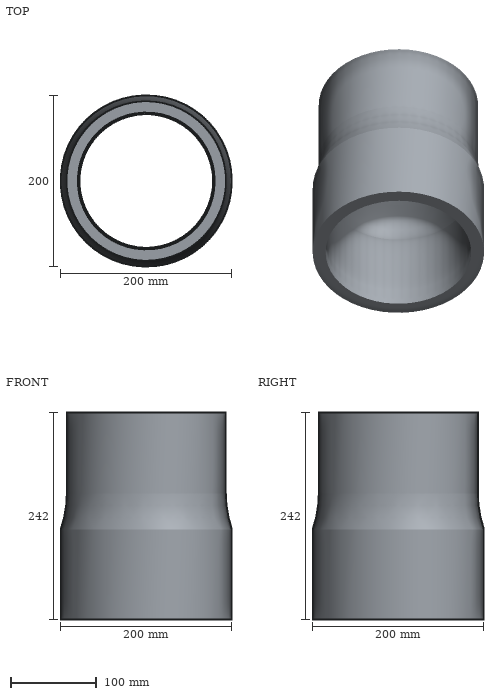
import cadquery as cq

TOTAL_HEIGHT = 242.0
LARGE_OUTER_RADIUS = 200.0 / 2
SMALL_OUTER_RADIUS = 186.03 / 2

LOWER_BORE_RADIUS = 170.0 / 2
SOCKET_BORE_RADIUS = 160.0 / 2
THROAT_RADIUS = 156.0 / 2
SOCKET_DEPTH = 86.0

FLARE_START = 105.5
OUTER_FLARE_END = 147.5
FLARE_ARC_RADIUS = 130.0
SOCKET_STOP = TOTAL_HEIGHT - SOCKET_DEPTH

wall_section = (
    cq.Workplane("XZ")
    .moveTo(LOWER_BORE_RADIUS, 0)
    .lineTo(LARGE_OUTER_RADIUS, 0)
    .lineTo(LARGE_OUTER_RADIUS, FLARE_START)
    .radiusArc((SMALL_OUTER_RADIUS, OUTER_FLARE_END), FLARE_ARC_RADIUS)
    .lineTo(SMALL_OUTER_RADIUS, TOTAL_HEIGHT)
    .lineTo(SOCKET_BORE_RADIUS, TOTAL_HEIGHT)
    .lineTo(SOCKET_BORE_RADIUS, SOCKET_STOP)
    .lineTo(THROAT_RADIUS, SOCKET_STOP)
    .radiusArc((LOWER_BORE_RADIUS, FLARE_START), -FLARE_ARC_RADIUS)
    .close()
)

result = wall_section.revolve(360, (0, 0, 0), (0, 1, 0))